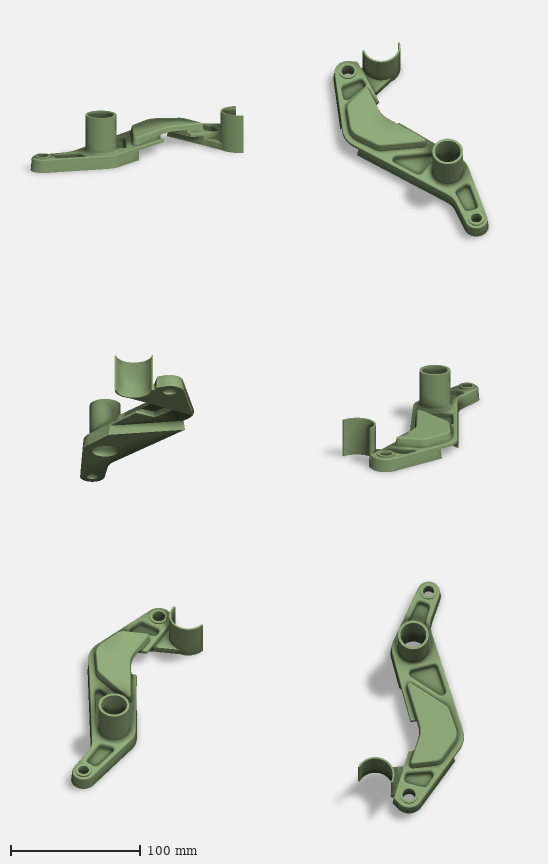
import cadquery as cq
import math

plate_height = 10.2
boss_height = 11.5
island_height = 16.8
tube_height = 39.0
clamp_height = 29.8
web_height = 5.0
pocket_floor = 4.3
hollow_roof = 7.7
window_roof = 12.5

lower_hole = (-36.2, -33.0)
upper_hole = (70.3, 100.0)
lower_hole_diameter = 8.5
lower_boss_diameter = 12.8
upper_hole_diameter = 10.0
upper_boss_diameter = 14.0
tube_bore = 20.0
tube_diameter = 24.0
tube_base_fillet = 2.0

clamp_centre = (87.0, 77.8)
clamp_outer_radius = 14.9
clamp_inner_radius = 13.5
clamp_opening_angle = 30

plate_draft = 5
plate_edge_fillet = 0.8
island_draft = 12
island_edge_fillet = 1.4
pocket_draft = 5
pocket_edge_fillet = 1.8
pocket_corner_radius = 3.2
rim_block_side = 92.3

inner_bend = (51.8, 50.6)
outer_bend = (23.0, 71.8)

plate_corners = [
    (*lower_hole, 9.5),
    (0, 0, 17.7),
    (*inner_bend, -14.5),
    (82.5, 95.0, 0),
    (*upper_hole, 11.2),
    (*outer_bend, 19.5),
    (-37.0, 0.0, -17.0),
]
island_corners = [
    (20.3, 25.8, 3.2),
    (*inner_bend, -19.2),
    (53.8, 80.6, 2.9),
    (35.7, 83.8, 8.2),
    (*outer_bend, 14.3),
    (13.7, 57.5, 8.9),
]
pocket_corner_centres = [
    [(-26.9, -23.7), (-24.5, -27.4), (-9.5, -17.7), (-15.0, -13.7)],
    [(-4.3, 22.2), (11.4, 16.9), (1.4, 41.7)],
    [(48.0, 94.5), (61.8, 86.8), (63.2, 88.3), (55.0, 97.7)],
]

hollow_upper_wall = [(18.2, 94.8), (59.8, 75.4)]
hollow_lower_wall = [(25.0, 18.2), (3.2, 74.1)]
hollow_outline = [
    *hollow_upper_wall,
    (92.3, 60.3),
    (61.5, -15.4),
    *hollow_lower_wall,
    (-12.3, 113.8),
]
window_upper_wall = [(26.5, 81.2), (50.6, 69.0)]
window_lower_wall = [(35.2, 48.8), (20.9, 56.9)]
window_outline = [
    *window_upper_wall,
    (69.2, 59.7),
    (53.8, 38.5),
    *window_lower_wall,
]
web_outline = [
    hollow_upper_wall[1],
    (76.6, 67.0),
    clamp_centre,
    (79.7, 91.5),
    (76.3, 91.0),
    (62.5, 80.3),
]


def tangent_ends(start, end):
    """Ends of the straight line that touches two consecutive corner circles."""
    dx = end[0] - start[0]
    dy = end[1] - start[1]
    heading = math.atan2(dy, dx)
    swing = math.asin((end[2] - start[2]) / math.hypot(dx, dy))
    normal = heading - swing - math.pi / 2
    return [
        (x + radius * math.cos(normal), y + radius * math.sin(normal))
        for x, y, radius in (start, end)
    ]


def belt(corners, height):
    """Closed outline of lines and tangent arcs around the corner circles."""
    count = len(corners)
    lines = [tangent_ends(corners[i], corners[(i + 1) % count]) for i in range(count)]
    outline = cq.Workplane("XY", origin=(0, 0, height)).moveTo(*lines[0][0])
    for i in range(count):
        arrival = lines[i][1]
        departure = lines[(i + 1) % count][0]
        x, y, radius = corners[(i + 1) % count]
        outline = outline.lineTo(*arrival)
        if radius != 0:
            middle_x = (arrival[0] + departure[0]) / 2 - x
            middle_y = (arrival[1] + departure[1]) / 2 - y
            stretch = abs(radius) / math.hypot(middle_x, middle_y)
            through = (x + middle_x * stretch, y + middle_y * stretch)
            outline = outline.threePointArc(through, departure)
    return outline.close()


def cylinder(centre, diameter, height):
    return cq.Workplane("XY").center(*centre).circle(diameter / 2).extrude(height)


def prism(points, height):
    return cq.Workplane("XY").polyline(points).close().extrude(height)


def plate():
    body = belt(plate_corners, 0).extrude(plate_height, taper=plate_draft)
    return body.faces(">Z").edges().fillet(plate_edge_fillet)


def island():
    body = belt(island_corners, plate_height).extrude(island_height - plate_height, taper=island_draft)
    return body.faces(">Z").edges().fillet(island_edge_fillet)


def pocket(centres):
    """Material removed by one pocket with rounded floor and rim."""
    corners = [(x, y, pocket_corner_radius) for x, y in centres]
    depth = plate_height - pocket_floor
    core = belt(corners, plate_height).extrude(-depth, taper=pocket_draft)
    core = core.faces("<Z").edges().fillet(pocket_edge_fillet)
    block = (
        cq.Workplane("XY")
        .center(*centres[0])
        .rect(rim_block_side, rim_block_side)
        .extrude(plate_height)
    )
    mould = block.cut(core)
    rim = mould.faces(">Z").val().innerWires()[0].Edges()
    rounded_mould = mould.val().fillet(pocket_edge_fillet, rim)
    return block.cut(cq.Workplane(rounded_mould))


def tube():
    radius = tube_diameter / 2
    foot = plate_height + tube_base_fillet
    bulge = tube_base_fillet * (1 - math.sqrt(0.5))
    return (
        cq.Workplane("XZ")
        .lineTo(radius, 0)
        .lineTo(radius + tube_base_fillet, 0)
        .lineTo(radius + tube_base_fillet, plate_height)
        .threePointArc((radius + bulge, plate_height + bulge), (radius, foot))
        .lineTo(radius, tube_height)
        .lineTo(0, tube_height)
        .close()
        .revolve(360, (0, 0, 0), (0, 1, 0))
    )


def clamp():
    web = prism(web_outline, web_height)
    shell = cylinder(clamp_centre, 2 * clamp_outer_radius, clamp_height)
    bore = cylinder(clamp_centre, 2 * clamp_inner_radius, clamp_height)
    side = 4 * clamp_outer_radius
    opening = (
        cq.Workplane("XY")
        .rect(side, side)
        .extrude(clamp_height)
        .translate((side / 2, 0, 0))
        .rotate((0, 0, 0), (0, 0, 1), clamp_opening_angle)
        .translate((*clamp_centre, 0))
    )
    return web.union(shell.cut(opening)).cut(bore)


result = plate()
for centres in pocket_corner_centres:
    result = result.cut(pocket(centres))
result = result.union(island())
result = result.cut(prism(hollow_outline, hollow_roof))
result = result.cut(prism(window_outline, window_roof))
result = result.union(tube()).union(clamp())
result = result.union(cylinder(lower_hole, lower_boss_diameter, boss_height))
result = result.union(cylinder(upper_hole, upper_boss_diameter, boss_height))
result = result.cut(cylinder((0, 0), tube_bore, tube_height))
result = result.cut(cylinder(lower_hole, lower_hole_diameter, boss_height))
result = result.cut(cylinder(upper_hole, upper_hole_diameter, boss_height))